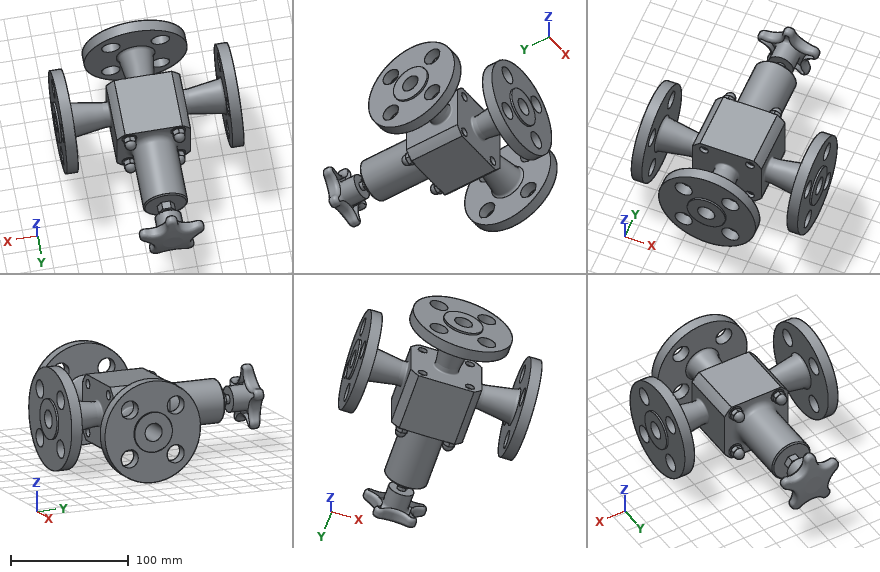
import cadquery as cq
import math


TOTAL_LENGTH = 192.3
SPAN_X = 156.0
PORT_END = -62.7

BODY_WIDTH = 63.5
BODY_HEIGHT = 57.7
BODY_CORNER_DIAMETER = 76.0
BODY_TOP = 36.1

ARM_LENGTH = (SPAN_X - BODY_WIDTH) / 2
NECK_DIAMETER = 21.3
NECK_ROOT_FILLET = 1.3
NECK_STRAIGHT_END = 5.2
CONE_END = 32.3
CONE_END_DIAMETER = 29.8
FLANGE_DIAMETER = 88.8
FLANGE_THICKNESS = 9.8
FLANGE_FILLET_DIAMETER = 33.3
RAISED_FACE_DIAMETER = 35.0
RAISED_FACE_HEIGHT = 1.7
BORE_DIAMETER = 15.8
FLANGE_HOLE_DIAMETER = 15.8
FLANGE_HOLE_SPACING = 42.7

STUD_SPACING = 42.1
STUD_DIAMETER = 7.5
STUD_HOLE_DIAMETER = 7.9
STUD_RECESS = 3.3
STUD_DIMPLE_DIAMETER = 3.7
STUD_DIMPLE_DEPTH = 1.2
WASHER_DIAMETER = 12.7
WASHER_THICKNESS = 0.4
NUT_ACROSS_FLATS = 9.8
NUT_CHAMFER_DIAMETER = 9.5
NUT_HEIGHT = 4.6
CAP_DIAMETER = 9.6
CAP_COLLAR_HEIGHT = 1.2

BONNET_DIAMETER = 38.0
BONNET_TOP = 93.5
BONNET_CHAMFER = 1.2
BONNET_ROOT_FILLET = 6.0
GLAND_ACROSS_FLATS = 12.7
GLAND_TOP = 100.0
SPINDLE_DIAMETER = 7.9

HUB_DIAMETER = 22.5
HUB_BOTTOM = 104.4
LOBE_COUNT = 5
LOBE_RADIUS = 4.8
LOBE_CIRCLE_RADIUS = 24.0
WHEEL_HEIGHT = 12.3
DOME_RADIUS = 92.3
DOME_FLAT_DIAMETER = 17.3
WHEEL_TOP_FILLET = 2.7
WHEEL_BOTTOM_FILLET = 3.5
WHEEL_WALL = 2.9
HOLLOW_DEPTH = 5.4
HUB_ROOT_FILLET = 3.5

WHEEL_TOP = PORT_END + TOTAL_LENGTH
WHEEL_BOTTOM = WHEEL_TOP - WHEEL_HEIGHT
BODY_BOTTOM = PORT_END + ARM_LENGTH


def plane_at(y):
    """Plane across the spindle at height y, with local x = X and local y = Z."""
    return cq.Workplane("XZ", origin=(0, y, 0))


def cylinder(diameter, start, end):
    """Cylinder on the Y axis from start to end."""
    return plane_at(start).circle(diameter / 2).extrude(start - end)


def cone(start_diameter, end_diameter, start, end):
    """Cone on the Y axis from start to end."""
    solid = cq.Solid.makeCone(
        start_diameter / 2,
        end_diameter / 2,
        end - start,
        pnt=cq.Vector(0, start, 0),
        dir=cq.Vector(0, 1, 0),
    )
    return cq.Workplane(solid)


def square_pattern(spacing):
    """Corner points of a square centred on the axis."""
    half = spacing / 2
    return [(a, b) for a in (-half, half) for b in (-half, half)]


def make_body():
    block = plane_at(BODY_BOTTOM).rect(BODY_WIDTH, BODY_HEIGHT).extrude(BODY_BOTTOM - BODY_TOP)
    body = block.intersect(cylinder(BODY_CORNER_DIAMETER, BODY_BOTTOM, BODY_TOP))
    holes = (
        plane_at(BODY_BOTTOM)
        .pushPoints(square_pattern(STUD_SPACING))
        .circle(STUD_HOLE_DIAMETER / 2)
        .extrude(BODY_BOTTOM - BODY_TOP)
    )
    return body.cut(holes)


def make_arm():
    """Welding-neck flange with a blind bore, standing on the XZ plane and pointing along +Y."""
    neck_radius = NECK_DIAMETER / 2
    face = ARM_LENGTH - RAISED_FACE_HEIGHT
    back = face - FLANGE_THICKNESS
    arc_inset = NECK_ROOT_FILLET * (1 - math.sqrt(0.5))
    arm = (
        cq.Workplane("XY")
        .moveTo(0, 0)
        .lineTo(neck_radius + NECK_ROOT_FILLET, 0)
        .threePointArc((neck_radius + arc_inset, arc_inset), (neck_radius, NECK_ROOT_FILLET))
        .lineTo(neck_radius, NECK_STRAIGHT_END)
        .lineTo(CONE_END_DIAMETER / 2, CONE_END)
        .tangentArcPoint((FLANGE_FILLET_DIAMETER / 2, back), relative=False)
        .lineTo(FLANGE_DIAMETER / 2, back)
        .lineTo(FLANGE_DIAMETER / 2, face)
        .lineTo(RAISED_FACE_DIAMETER / 2, face)
        .lineTo(RAISED_FACE_DIAMETER / 2, ARM_LENGTH)
        .lineTo(0, ARM_LENGTH)
        .close()
        .revolve(360, (0, 0, 0), (0, 1, 0))
    )
    bolt_holes = (
        plane_at(back)
        .pushPoints(square_pattern(FLANGE_HOLE_SPACING))
        .circle(FLANGE_HOLE_DIAMETER / 2)
        .extrude(-FLANGE_THICKNESS)
    )
    return arm.cut(bolt_holes).cut(cylinder(BORE_DIAMETER, 0, ARM_LENGTH))


def make_bonnet():
    radius = BONNET_DIAMETER / 2
    root_top = BODY_TOP + BONNET_ROOT_FILLET
    arc_inset = BONNET_ROOT_FILLET * (1 - math.sqrt(0.5))
    return (
        cq.Workplane("XY")
        .moveTo(0, BODY_TOP)
        .lineTo(radius + BONNET_ROOT_FILLET, BODY_TOP)
        .threePointArc((radius + arc_inset, BODY_TOP + arc_inset), (radius, root_top))
        .lineTo(radius, BONNET_TOP - BONNET_CHAMFER)
        .lineTo(radius - BONNET_CHAMFER, BONNET_TOP)
        .lineTo(0, BONNET_TOP)
        .close()
        .revolve(360, (0, 0, 0), (0, 1, 0))
    )


def make_stud():
    """Stud with washer and cap nut, on the Y axis."""
    stud_end = BODY_BOTTOM + STUD_RECESS
    nut_bottom = BODY_TOP + WASHER_THICKNESS
    nut_top = nut_bottom + NUT_HEIGHT
    dome_base = nut_top + CAP_COLLAR_HEIGHT
    cap_radius = CAP_DIAMETER / 2
    nut_corners = NUT_ACROSS_FLATS / math.cos(math.pi / 6)

    stud = cylinder(STUD_DIAMETER, stud_end, nut_top)
    dimple = cone(STUD_DIMPLE_DIAMETER, 0, stud_end, stud_end + STUD_DIMPLE_DEPTH)
    washer = cylinder(WASHER_DIAMETER, BODY_TOP, nut_bottom)
    nut = (
        plane_at(nut_bottom)
        .transformed(rotate=(0, 0, 90))
        .polygon(6, nut_corners)
        .extrude(-NUT_HEIGHT)
    )
    chamfer_cone = cone(NUT_CHAMFER_DIAMETER, NUT_CHAMFER_DIAMETER + 2 * NUT_HEIGHT, nut_bottom, nut_top)
    nut = nut.intersect(chamfer_cone)
    cap = (
        cq.Workplane("XY")
        .moveTo(0, nut_top)
        .lineTo(cap_radius, nut_top)
        .lineTo(cap_radius, dome_base)
        .tangentArcPoint((0, dome_base + cap_radius), relative=False)
        .close()
        .revolve(360, (0, 0, 0), (0, 1, 0))
    )
    return stud.cut(dimple).union(washer).union(nut).union(cap)


def star_outline(y, inset):
    """Star of round lobes joined by concave arcs, moved inward by inset."""
    half_pitch = math.pi / LOBE_COUNT
    lobe_radius = LOBE_RADIUS - inset
    valley_centre = LOBE_CIRCLE_RADIUS / math.cos(half_pitch)
    valley_radius = valley_centre - LOBE_CIRCLE_RADIUS * math.tan(half_pitch) + lobe_radius

    def lobe_point(angle, out, side):
        return (
            out * math.cos(angle) - side * math.sin(angle),
            out * math.sin(angle) + side * math.cos(angle),
        )

    first = math.pi / 2
    outline = plane_at(y).moveTo(*lobe_point(first, LOBE_CIRCLE_RADIUS, -lobe_radius))
    for index in range(LOBE_COUNT):
        angle = first + 2 * half_pitch * index
        following = angle + 2 * half_pitch
        outline = outline.threePointArc(
            lobe_point(angle, LOBE_CIRCLE_RADIUS + lobe_radius, 0),
            lobe_point(angle, LOBE_CIRCLE_RADIUS, lobe_radius),
        ).threePointArc(
            lobe_point(angle + half_pitch, valley_radius, 0),
            lobe_point(following, LOBE_CIRCLE_RADIUS, -lobe_radius),
        )
    return outline.close()


def make_handwheel():
    dome_centre = WHEEL_TOP - math.sqrt(DOME_RADIUS**2 - (DOME_FLAT_DIAMETER / 2) ** 2)
    dome = cq.Workplane("XY").sphere(DOME_RADIUS).translate((0, dome_centre, 0))
    wheel = star_outline(WHEEL_BOTTOM, 0).extrude(-2 * WHEEL_HEIGHT).intersect(dome)
    wheel = wheel.faces("<Y").edges().fillet(WHEEL_BOTTOM_FILLET)
    wheel = wheel.faces(">Y").edges().fillet(WHEEL_TOP_FILLET)
    wheel = wheel.intersect(cylinder(4 * LOBE_CIRCLE_RADIUS, WHEEL_BOTTOM, WHEEL_TOP))
    wheel = wheel.cut(star_outline(WHEEL_BOTTOM, WHEEL_WALL).extrude(-HOLLOW_DEPTH))

    hub_radius = HUB_DIAMETER / 2
    ceiling = WHEEL_BOTTOM + HOLLOW_DEPTH
    arc_inset = HUB_ROOT_FILLET * (1 - math.sqrt(0.5))
    hub = (
        cq.Workplane("XY")
        .moveTo(0, HUB_BOTTOM)
        .lineTo(hub_radius, HUB_BOTTOM)
        .lineTo(hub_radius, ceiling - HUB_ROOT_FILLET)
        .threePointArc(
            (hub_radius + arc_inset, ceiling - arc_inset),
            (hub_radius + HUB_ROOT_FILLET, ceiling),
        )
        .lineTo(0, ceiling)
        .close()
        .revolve(360, (0, 0, 0), (0, 1, 0))
    )
    return wheel.union(hub)


arm = make_arm()
side_arm = arm.rotate((0, 0, 0), (0, 0, 1), -90).translate((BODY_WIDTH / 2, 0, 0))
bottom_arm = arm.rotate((0, 0, 0), (0, 0, 1), 180).translate((0, BODY_BOTTOM, 0))

gland = (
    plane_at(BONNET_TOP)
    .polygon(6, GLAND_ACROSS_FLATS / math.cos(math.pi / 6))
    .extrude(BONNET_TOP - GLAND_TOP)
)

spindle = cylinder(SPINDLE_DIAMETER, GLAND_TOP, HUB_BOTTOM)
studs = [make_stud().translate((x, 0, z)) for x, z in square_pattern(STUD_SPACING)]
parts = [side_arm, side_arm.mirror("YZ"), bottom_arm, make_bonnet(), *studs]
parts += [gland, spindle, make_handwheel()]

result = make_body()
for part in parts:
    result = result.union(part, clean=False)